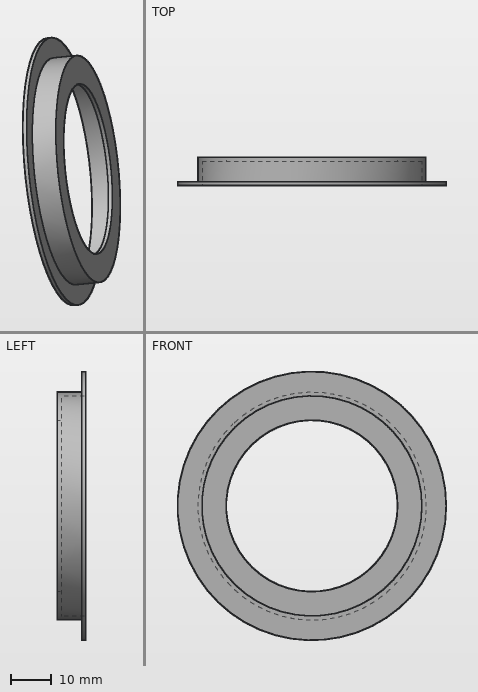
import cadquery as cq

flange_diameter = 66.0
flange_thickness = 1.0
total_depth = 7.0
wall_thickness = 1.0
lip_thickness = 1.0
recess_diameter = 54.0
opening_diameter = 42.0

body_diameter = recess_diameter + 2 * wall_thickness
recess_depth = total_depth - lip_thickness


def disc(diameter, length):
    """Solid disc on the Y axis, from the front face at Y = 0 toward +Y."""
    return cq.Workplane("XZ").circle(diameter / 2).extrude(-length)


flange = disc(flange_diameter, flange_thickness)
body = disc(body_diameter, total_depth)

recess = disc(recess_diameter, recess_depth)
opening = disc(opening_diameter, total_depth)

result = flange.union(body).cut(recess).cut(opening)